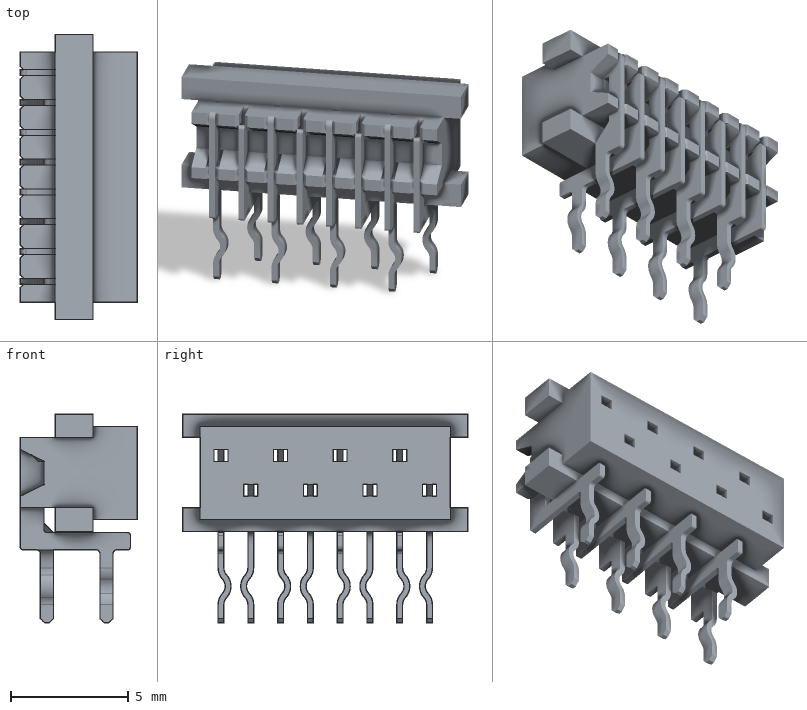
import cadquery as cq
import math


flange_length = 12.16
body_length = 10.68
body_depth = 5.0
body_bottom = 4.91
body_top = 7.9
flange_front = 1.5
flange_back = 3.11
flange_bottom = 3.89
flange_top = 8.9
rear_bottom = 4.4
rear_top = 8.38

notch_depth = 1.02
notch_middle = 6.4
notch_inner_height = 0.98
notch_outer_height = 1.98
notch_inner_bottom = notch_middle - notch_inner_height / 2
notch_inner_top = notch_middle + notch_inner_height / 2
notch_outer_bottom = notch_middle - notch_outer_height / 2
notch_outer_top = notch_middle + notch_outer_height / 2

slot_chamfer = 0.15
window_width = 0.58

pin_count = 8
pin_row_length = 8.89
pin_pitch = pin_row_length / (pin_count - 1)
pin_thickness = 0.25
front_stem_width = 0.67
rear_stem_width = notch_depth
head_back = 2.0
front_head_bottom = notch_outer_bottom
rear_head_bottom = notch_inner_bottom
foot_bottom = 3.11
foot_top = 3.85
foot_end = 4.7
corner_radius = 0.12
leg_root_radius = 0.16
head_radius = 0.25
bend_radius = 0.12

prong_front = 0.95
gusset_base = 3.84
ramp_start = 1.42
tip_top = 7.39
tip_length = 0.27

front_leg_x = 1.14
rear_leg_x = front_leg_x + 2 * pin_pitch
leg_width = 0.57
leg_tip_chamfer = 0.2
wave_top = 2.35
wave_bottom = 0.78
wave_offset = 0.3

wave_middle = (wave_top + wave_bottom) / 2
wave_half = (wave_top - wave_bottom) / 2
wave_angle = 2 * math.atan(wave_offset / wave_half)
wave_radius = wave_half / (2 * math.sin(wave_angle))


def box(x_range, y_range, z_range):
    """A block between the given limits on each axis."""
    size = [high - low for low, high in (x_range, y_range, z_range)]
    corner = (x_range[0], y_range[0], z_range[0])
    return cq.Workplane("XY").box(*size, centered=False).translate(corner)


def plate(outline, thickness):
    """A plate from an XZ outline, centred on Y = 0."""
    return cq.Workplane("XZ").polyline(outline).close().extrude(thickness / 2, both=True)


def span(width, centre=0.0):
    """The limits of a width about its centre."""
    return (centre - width / 2, centre + width / 2)


def pin_y(index):
    return (index - (pin_count - 1) / 2) * pin_pitch


def is_rear_pin(index):
    """Rear pins alternate with front pins, starting at the -Y end."""
    return index % 2 == 0


def housing_block():
    """The body with its taller rear part, the two flanges and the notch along the pin side."""
    body = box((0, body_depth), span(body_length), (body_bottom, body_top))
    rear = box((flange_back, body_depth), span(body_length), (rear_bottom, rear_top))
    flange_x = (flange_front, flange_back)
    upper_flange = box(flange_x, span(flange_length), (body_top, flange_top))
    lower_flange = box(flange_x, span(flange_length), (flange_bottom, body_bottom))
    notch = plate(
        [
            (0, notch_outer_bottom),
            (notch_depth, notch_inner_bottom),
            (notch_depth, notch_inner_top),
            (0, notch_outer_top),
        ],
        body_length,
    )
    return body.union(rear).union(upper_flange).union(lower_flange).cut(notch)


def pin_slot(y, rear):
    """The slot for one pin, with a chamfered mouth and a deeper upper part for the pin head."""
    stem_width = rear_stem_width if rear else front_stem_width
    head_bottom = rear_head_bottom if rear else front_head_bottom
    half = pin_thickness / 2
    mouth = half + slot_chamfer
    stem_slot = (
        cq.Workplane("XY", origin=(0, y, body_bottom))
        .polyline(
            [
                (0, -mouth),
                (slot_chamfer, -half),
                (stem_width, -half),
                (stem_width, half),
                (slot_chamfer, half),
                (0, mouth),
            ]
        )
        .close()
        .extrude(body_top - body_bottom)
    )
    head_slot = box((0, head_back), span(pin_thickness, y), (head_bottom, body_top))
    return stem_slot.union(head_slot)


def contact_window(y, rear):
    """The opening through the housing: upper row at rear pins, lower row at front pins."""
    if rear:
        rows = (notch_inner_top, notch_outer_top)
    else:
        rows = (notch_outer_bottom, notch_inner_bottom)
    return box((0, body_depth), span(window_width, y), rows)


def make_housing():
    housing = housing_block()
    for index in range(pin_count):
        y = pin_y(index)
        rear = is_rear_pin(index)
        housing = housing.cut(pin_slot(y, rear)).cut(contact_window(y, rear))
    return housing


def round_corners(solid, corners, radius):
    """Round the plate edges that run along Y through the given XZ corners."""
    for x, z in corners:
        edge = solid.edges("|Y").edges(cq.NearestToPointSelector((x, 0, z)))
        solid = edge.fillet(radius)
    return solid


def wavy_leg(x, bulge):
    """A leg below wave_top that bulges to +Y (bulge = 1) or -Y (bulge = -1), with a pointed tip."""
    half = pin_thickness / 2
    outer_radius = wave_radius + half
    inner_radius = wave_radius - half
    crest_centre = wave_offset - wave_radius
    end_centre = wave_radius

    def arc_point(centre, radius, angle):
        """Offset along Y and rise along Z of a point on an arc, from the height of its centre."""
        return (bulge * (centre + radius * math.cos(angle)), radius * math.sin(angle))

    def side(straight_y, crest_radius, end_radius):
        """Points down one side of the wave: top end arc, crest arc, bottom end arc."""
        end_y, end_rise = arc_point(end_centre, -end_radius, wave_angle / 2)
        join_y, join_rise = arc_point(crest_centre, crest_radius, wave_angle)
        crest_y, _ = arc_point(crest_centre, crest_radius, 0)
        return [
            (bulge * straight_y, wave_top),
            (end_y, wave_top + end_rise),
            (join_y, wave_middle + join_rise),
            (crest_y, wave_middle),
            (join_y, wave_middle - join_rise),
            (end_y, wave_bottom - end_rise),
            (bulge * straight_y, wave_bottom),
        ]

    outer = side(half, outer_radius, inner_radius)
    inner = side(-half, inner_radius, outer_radius)[::-1]
    leg = (
        cq.Workplane("YZ", origin=(x - leg_width / 2, 0, 0))
        .moveTo(*outer[0])
        .threePointArc(outer[1], outer[2])
        .threePointArc(outer[3], outer[4])
        .threePointArc(outer[5], outer[6])
        .lineTo(bulge * half, 0)
        .lineTo(-bulge * half, 0)
        .lineTo(*inner[0])
        .threePointArc(inner[1], inner[2])
        .threePointArc(inner[3], inner[4])
        .threePointArc(inner[5], inner[6])
        .close()
        .extrude(leg_width)
    )
    return leg.faces("<Z").edges("|Y").chamfer(leg_tip_chamfer)


def make_front_pin():
    """A pin with a full-height head folded down behind the stem, and a leg close to the stem."""
    leg_front, leg_back = span(leg_width, front_leg_x)
    gusset_rise = leg_back - front_stem_width
    ramp_drop = head_back - ramp_start
    leg_root = (leg_front, foot_bottom)
    stem_bottom = (0, foot_bottom)
    head_front = (0, body_top)
    ramp_top = (ramp_start, body_top)
    outline = [
        stem_bottom,
        leg_root,
        (leg_front, wave_top),
        (leg_back, wave_top),
        (leg_back, gusset_base),
        (front_stem_width, gusset_base + gusset_rise),
        (front_stem_width, notch_inner_top),
        (prong_front, notch_inner_top),
        (prong_front, front_head_bottom),
        (head_back, front_head_bottom),
        (head_back, body_top - ramp_drop),
        ramp_top,
        head_front,
    ]
    pin = plate(outline, pin_thickness)
    pin = round_corners(pin, [stem_bottom], corner_radius)
    pin = round_corners(pin, [leg_root], leg_root_radius)
    pin = round_corners(pin, [head_front], head_radius)
    pin = round_corners(pin, [ramp_top], bend_radius)
    return pin.union(wavy_leg(front_leg_x, -1))


def make_rear_pin():
    """A pin with a low tip and a set-back head, whose leg hangs from a long foot."""
    leg_front, leg_back = span(leg_width, rear_leg_x)
    valley = notch_inner_top
    stem_bottom = (0, foot_bottom)
    leg_roots = [(leg_front, foot_bottom), (leg_back, foot_bottom)]
    foot_corners = [(foot_end, foot_bottom), (foot_end, foot_top), (rear_stem_width, foot_top)]
    head_front = (rear_stem_width, body_top)
    valley_back = (rear_stem_width, valley)
    valley_front = (tip_length + tip_top - valley, valley)
    tip_back = (tip_length, tip_top)
    tip_front = (0, tip_top)
    outline = [
        stem_bottom,
        leg_roots[0],
        (leg_front, wave_top),
        (leg_back, wave_top),
        leg_roots[1],
        *foot_corners,
        (rear_stem_width, rear_head_bottom),
        (head_back, rear_head_bottom),
        (head_back, body_top),
        head_front,
        valley_back,
        valley_front,
        tip_back,
        tip_front,
    ]
    pin = plate(outline, pin_thickness)
    pin = round_corners(pin, [stem_bottom, *foot_corners, tip_front], corner_radius)
    pin = round_corners(pin, leg_roots, leg_root_radius)
    pin = round_corners(pin, [head_front], head_radius)
    pin = round_corners(pin, [valley_back, valley_front, tip_back], bend_radius)
    return pin.union(wavy_leg(rear_leg_x, 1))


housing = make_housing()
front_pin = make_front_pin()
rear_pin = make_rear_pin()
pins = []
for index in range(pin_count):
    pin = rear_pin if is_rear_pin(index) else front_pin
    pins.append(pin.translate((0, pin_y(index), 0)).val())

result = cq.Compound.makeCompound([housing.val(), *pins])